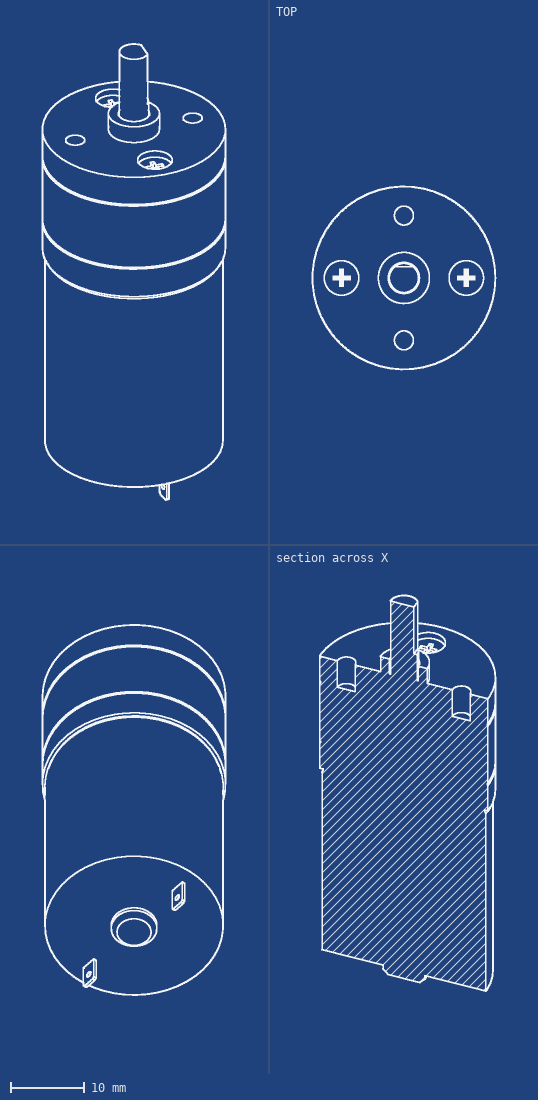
import cadquery as cq

terminal_length = 4.1
can_length = 30.8
head_length = 19.15
boss_height = 2.5
overall_length = 66.5
head_top = can_length + head_length
boss_top = head_top + boss_height
shaft_top = overall_length - terminal_length

can_radius = 12.2
shoulder_height = 0.5
shoulder_inset = 0.2

head_radius = 12.5
plate_thickness = 4.5
seam_width = 0.2
seam_depth = 0.1

boss_diameter = 7.0
bore_radius = 2.1
shaft_radius = 2.0
flat_offset = 1.5
flat_length = 8.0

bolt_circle_radius = 8.5
mount_hole_diameter = 2.6
mount_hole_depth = plate_thickness
screw_recess_diameter = 4.7
screw_recess_depth = 1.0
cross_length = 2.3
cross_width = 0.5
cross_depth = 0.8
cross_taper = 15

hub_radius = 3.1
hub_height = 1.4
hub_chamfer = 0.8

terminal_distance = 9.05
terminal_angle = 7.6
terminal_width = 2.1
terminal_thickness = 0.4
terminal_corner = 0.25
terminal_hole_diameter = 0.8
terminal_hole_z = -2.4


def cylinder(radius, bottom, top):
    return cq.Workplane("XY").workplane(offset=bottom).circle(radius).extrude(top - bottom)


def make_can():
    can = cylinder(can_radius, 0, can_length)
    return can.faces(">Z").chamfer(shoulder_height, shoulder_inset)


def make_hub():
    return cylinder(hub_radius, -hub_height, 0).faces("<Z").chamfer(hub_chamfer)


def make_head():
    head = cylinder(head_radius, can_length, head_top)
    for seam_z in (can_length + plate_thickness, head_top - plate_thickness):
        seam_bottom = seam_z - seam_width / 2
        seam_top = seam_z + seam_width / 2
        core = cylinder(head_radius - seam_depth, seam_bottom, seam_top)
        head = head.cut(cylinder(head_radius, seam_bottom, seam_top).cut(core))
    return head


def drill_head(head):
    front_face = cq.Workplane("XY").workplane(offset=head_top)
    mount_spots = [(0, bolt_circle_radius), (0, -bolt_circle_radius)]
    screw_spots = [(bolt_circle_radius, 0), (-bolt_circle_radius, 0)]
    mount_outlines = front_face.pushPoints(mount_spots).circle(mount_hole_diameter / 2)
    mount_holes = mount_outlines.extrude(-mount_hole_depth)
    recess_outlines = front_face.pushPoints(screw_spots).circle(screw_recess_diameter / 2)
    screw_recesses = recess_outlines.extrude(-screw_recess_depth)
    head = head.cut(mount_holes).cut(screw_recesses)
    screw_face = front_face.workplane(offset=-screw_recess_depth).pushPoints(screw_spots)
    for size in ((cross_length, cross_width), (cross_width, cross_length)):
        head = head.cut(screw_face.rect(*size).extrude(-cross_depth, taper=cross_taper))
    return head


def make_boss():
    return cylinder(boss_diameter / 2, head_top, boss_top).cut(cylinder(bore_radius, head_top, boss_top))


def make_shaft():
    shaft = cylinder(shaft_radius, head_top, shaft_top)
    flat_cut = (
        cq.Workplane("XY")
        .workplane(offset=shaft_top - flat_length)
        .center(0, flat_offset + shaft_radius / 2)
        .rect(2 * shaft_radius, shaft_radius)
        .extrude(flat_length)
    )
    return shaft.cut(flat_cut)


def make_terminal(side):
    tab = (
        cq.Workplane("XY")
        .box(terminal_width, terminal_thickness, terminal_length, centered=(True, True, False))
        .translate((0, 0, -terminal_length))
        .edges("|Y and <Z")
        .chamfer(terminal_corner)
    )
    hole = (
        cq.Workplane("XZ")
        .center(0, terminal_hole_z)
        .circle(terminal_hole_diameter / 2)
        .extrude(terminal_thickness, both=True)
    )
    tab = tab.cut(hole).translate((side * terminal_distance, 0, 0))
    return tab.rotate((0, 0, 0), (0, 0, 1), terminal_angle)


result = make_can().union(make_hub()).union(drill_head(make_head()))
result = result.union(make_boss()).union(make_shaft())
for side in (-1, 1):
    result = result.union(make_terminal(side))